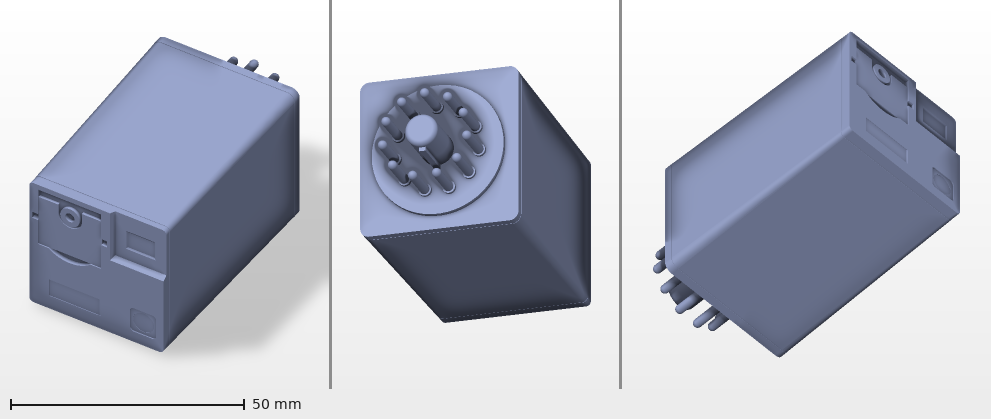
import cadquery as cq
import math


FRONT_Y = -34.1
FRONT_SEAM_Y = -31.7
REAR_SEAM_Y = 18.4
REAR_Y = 20.5
DISC_Y = 21.7
COLLAR_Y = 22.4
PIN_TIP_Y = 32.0
POST_TIP_Y = 34.1
KEY_TIP_Y = 32.7

REAR_WIDTH = 35.5
SHELL_REAR_WIDTH = 35.45
SHELL_FRONT_WIDTH = 33.7
FRONT_WIDTH = 33.6
CORNER_AXIS = 15.75
SEAM_WIDTH = 0.2
SEAM_DEPTH = 0.1

DISC_DIAMETER = 29.6
POST_DIAMETER = 7.3
POST_FILLET = 1.0
KEY_WIDTH = 1.35
KEY_REACH = 4.5
PIN_COUNT = 11
PIN_CIRCLE_RADIUS = 9.55
PIN_DIAMETER = 2.05
COLLAR_DIAMETER = 2.8

FLAP_X = -6.75
FLAP_WIDTH = 15.8
FLAP_TOP = 15.5
FLAP_BOTTOM = 0.15
FLAP_DEPTH = 0.3
SLOT_BOTTOM = 13.2
SLOT_DEPTH = 0.95
BOSS_Z = 10.9
BOSS_DIAMETER = 4.85
BOSS_TOP_DEPTH = 0.15
BOSS_POCKET_DIAMETER = 5.9
BOSS_HOLE_DIAMETER = 2.3
BOSS_HOLE_DEPTH = 0.9
HINGE_SPAN = 18.8
HINGE_Z = 7.7
HINGE_HEIGHT = 1.7
HINGE_DEPTH = 1.1
RELIEF_RADIUS = 8.3
RELIEF_BOTTOM = -1.8
RELIEF_DEPTH = 1.0

STEP_X = 3.4
STEP_Z = 3.55
STEP_DEPTH = 1.15
STEP_SIDE_SLOPE = 0.6
STEP_BOTTOM_SLOPE = 0.9
WINDOW_X = 10.4
WINDOW_Z = 9.95
WINDOW_WIDTH = 7.4
WINDOW_HEIGHT = 5.05
WINDOW_DEPTH = 0.3
WINDOW_SLOPE = 0.4

LABEL_LEFT = -11.9
LABEL_RIGHT = 1.0
LABEL_TOP = -8.65
LABEL_BOTTOM = -13.2
LABEL_DEPTH = 0.15
LABEL_SLOPE = 0.5

BUTTON_X = 11.65
BUTTON_Z = -10.65
BUTTON_WIDTH = 6.55
BUTTON_CORNER = 0.95
BUTTON_DEPTH = 0.3
DIMPLE_DIAMETER = 5.2
DIMPLE_DEPTH = 0.1


def plane_at(y, x=0, z=0):
    """Sketch plane facing -Y, with X to the right and Z up."""
    return cq.Workplane("XZ", origin=(x, y, z))


def case_prism(width, y_start, y_end, taper=0):
    """Rounded square centred on the Y axis, drawn at y_end and narrowing toward y_start by the taper."""
    corner_radius = width / 2 - CORNER_AXIS
    section = cq.Sketch().rect(width, width).vertices().fillet(corner_radius)
    return plane_at(y_end).placeSketch(section).extrude(y_end - y_start, taper=taper)


def cylinder(diameter, y_start, y_end, x=0, z=0):
    return plane_at(y_end, x, z).circle(diameter / 2).extrude(y_end - y_start)


def box(x_start, x_end, z_start, z_end, y_start, y_end):
    size = (x_end - x_start, y_end - y_start, z_end - z_start)
    return cq.Workplane().box(*size, centered=False).translate((x_start, y_start, z_start))


def front_box(x_start, x_end, z_start, z_end, depth):
    return box(x_start, x_end, z_start, z_end, FRONT_Y, FRONT_Y + depth)


def make_case():
    """Front cap, tapered shell and rear flange, parted by two fine seam grooves."""
    shell_start = FRONT_SEAM_Y + SEAM_WIDTH
    flange_start = REAR_SEAM_Y + SEAM_WIDTH
    shell_narrowing = (SHELL_REAR_WIDTH - SHELL_FRONT_WIDTH) / 2
    taper = math.degrees(math.atan(shell_narrowing / (REAR_SEAM_Y - shell_start)))

    case = case_prism(FRONT_WIDTH, FRONT_Y, FRONT_SEAM_Y)
    case = case.union(case_prism(FRONT_WIDTH - 2 * SEAM_DEPTH, FRONT_SEAM_Y, shell_start))
    case = case.union(case_prism(SHELL_REAR_WIDTH, shell_start, REAR_SEAM_Y, taper))
    case = case.union(case_prism(SHELL_REAR_WIDTH - 2 * SEAM_DEPTH, REAR_SEAM_Y, flange_start))
    return case.union(case_prism(REAR_WIDTH, flange_start, REAR_Y))


def make_pin():
    """Round-tipped pin on the Y axis, with a collar at its root."""
    shank_end = PIN_TIP_Y - PIN_DIAMETER / 2
    tip = plane_at(shank_end).sphere(PIN_DIAMETER / 2)
    collar = cylinder(COLLAR_DIAMETER, REAR_Y, COLLAR_Y)
    return cylinder(PIN_DIAMETER, REAR_Y, shank_end).union(tip).union(collar)


def make_plug():
    plug = cylinder(DISC_DIAMETER, REAR_Y, DISC_Y)
    post = cylinder(POST_DIAMETER, REAR_Y, POST_TIP_Y).faces(">Y").edges().fillet(POST_FILLET)
    key = box(-KEY_WIDTH / 2, KEY_WIDTH / 2, -KEY_REACH, 0, REAR_Y, KEY_TIP_Y)
    plug = plug.union(post).union(key)
    pin = make_pin()
    for index in range(PIN_COUNT):
        angle = 2 * math.pi * index / PIN_COUNT
        x = PIN_CIRCLE_RADIUS * math.sin(angle)
        z = PIN_CIRCLE_RADIUS * math.cos(angle)
        plug = plug.union(pin.translate((x, 0, z)))
    return plug


def flap_cut():
    left = FLAP_X - FLAP_WIDTH / 2
    right = FLAP_X + FLAP_WIDTH / 2
    recess = front_box(left, right, FLAP_BOTTOM, FLAP_TOP, FLAP_DEPTH)
    slot = front_box(left, right, SLOT_BOTTOM, FLAP_TOP, SLOT_DEPTH)

    pocket_radius = BOSS_POCKET_DIAMETER / 2
    pocket = cylinder(BOSS_POCKET_DIAMETER, FRONT_Y, FRONT_Y + SLOT_DEPTH, FLAP_X, BOSS_Z)
    throat = front_box(FLAP_X - pocket_radius, FLAP_X + pocket_radius, BOSS_Z, SLOT_BOTTOM, SLOT_DEPTH)

    hinge_bottom = HINGE_Z - HINGE_HEIGHT / 2
    hinge_top = HINGE_Z + HINGE_HEIGHT / 2
    left_hinge = front_box(FLAP_X - HINGE_SPAN / 2, left, hinge_bottom, hinge_top, HINGE_DEPTH)
    right_hinge = front_box(right, FLAP_X + HINGE_SPAN / 2, hinge_bottom, hinge_top, HINGE_DEPTH)

    relief_z = RELIEF_BOTTOM + RELIEF_RADIUS
    relief = cylinder(2 * RELIEF_RADIUS, FRONT_Y, FRONT_Y + RELIEF_DEPTH, FLAP_X, relief_z)
    below_flap = front_box(left, right, RELIEF_BOTTOM, FLAP_BOTTOM, RELIEF_DEPTH)
    relief = relief.intersect(below_flap)

    cut = recess.union(slot).union(pocket).union(throat)
    cut = cut.union(left_hinge).union(right_hinge).union(relief)
    boss = cylinder(BOSS_DIAMETER, FRONT_Y + BOSS_TOP_DEPTH, FRONT_Y + SLOT_DEPTH, FLAP_X, BOSS_Z)
    hole = cylinder(BOSS_HOLE_DIAMETER, FRONT_Y, FRONT_Y + BOSS_TOP_DEPTH + BOSS_HOLE_DEPTH, FLAP_X, BOSS_Z)
    return cut.cut(boss).union(hole)


def step_cut():
    """Corner step whose side and bottom walls lean inward toward the floor."""
    outer = REAR_WIDTH / 2
    mouth = plane_at(FRONT_Y).moveTo(STEP_X, STEP_Z).lineTo(outer, STEP_Z).lineTo(outer, outer)
    mouth = mouth.lineTo(STEP_X, outer).close()
    floor_x = STEP_X + STEP_SIDE_SLOPE
    floor_z = STEP_Z + STEP_BOTTOM_SLOPE
    floor = mouth.workplane(offset=-STEP_DEPTH).moveTo(floor_x, floor_z).lineTo(outer, floor_z)
    return floor.lineTo(outer, outer).lineTo(floor_x, outer).close().loft(ruled=True)


def window_cut():
    mouth = plane_at(FRONT_Y + STEP_DEPTH, WINDOW_X, WINDOW_Z).rect(WINDOW_WIDTH, WINDOW_HEIGHT)
    floor = mouth.workplane(offset=-WINDOW_DEPTH)
    floor = floor.rect(WINDOW_WIDTH - 2 * WINDOW_SLOPE, WINDOW_HEIGHT - 2 * WINDOW_SLOPE)
    return floor.loft(ruled=True)


def label_cut():
    profile = [
        (LABEL_LEFT, FRONT_Y),
        (LABEL_RIGHT, FRONT_Y),
        (LABEL_RIGHT - LABEL_SLOPE, FRONT_Y + LABEL_DEPTH),
        (LABEL_LEFT, FRONT_Y + LABEL_DEPTH),
    ]
    bottom = cq.Workplane("XY", origin=(0, 0, LABEL_BOTTOM))
    return bottom.polyline(profile).close().extrude(LABEL_TOP - LABEL_BOTTOM)


def button_cut():
    floor_y = FRONT_Y + BUTTON_DEPTH
    recess = plane_at(floor_y, BUTTON_X, BUTTON_Z).rect(BUTTON_WIDTH, BUTTON_WIDTH).extrude(BUTTON_DEPTH)
    recess = recess.edges("|Y").fillet(BUTTON_CORNER)
    return recess.union(cylinder(DIMPLE_DIAMETER, FRONT_Y, floor_y + DIMPLE_DEPTH, BUTTON_X, BUTTON_Z))


result = make_case().union(make_plug())
for cut in (flap_cut(), step_cut(), window_cut(), label_cut(), button_cut()):
    result = result.cut(cut)